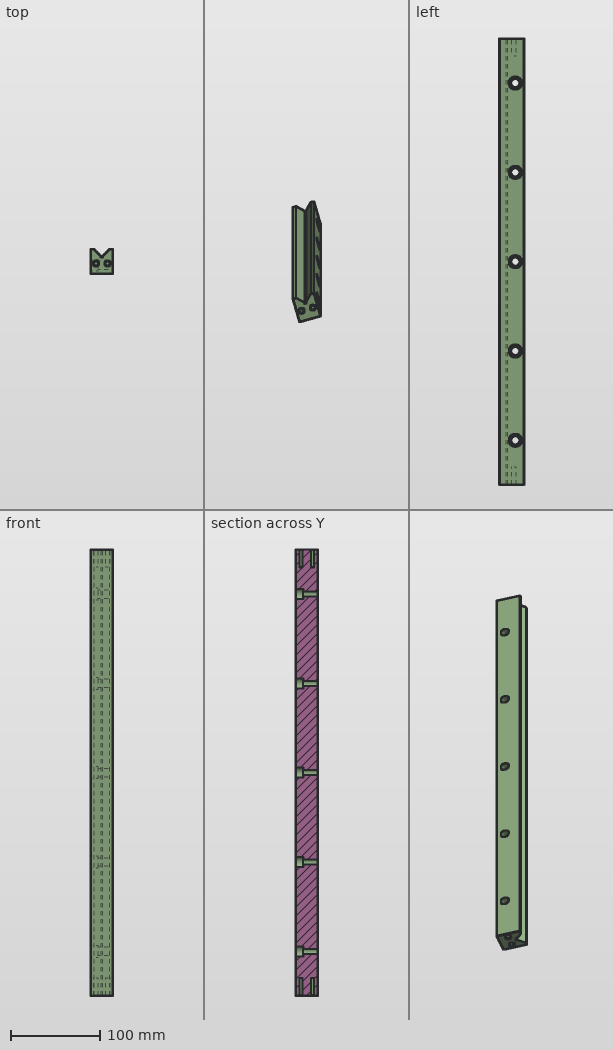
import cadquery as cq

WIDTH = 25.0
HEIGHT = 28.0
LENGTH = 500.0
EDGE_CHAMFER = 0.6

RACEWAY_WIDTH = 17.4
RELIEF_WIDTH = 2.0
RELIEF_DEPTH = 1.5

MOUNT_COUNT = 5
MOUNT_PITCH = 100.0
MOUNT_DIAMETER = 9.5
MOUNT_Y = -4.0
COUNTERBORE_DIAMETER = 13.3
COUNTERBORE_DEPTH = 8.5
COUNTERBORE_CHAMFER = 0.6

END_HOLE_DIAMETER = 5.0
END_HOLE_DEPTH = 20.0
END_HOLE_SPACING = 13.0
END_HOLE_Y = -2.0
END_HOLE_CHAMFER = 0.9


def rail_body():
    """Rectangular bar along Z with all edges chamfered."""
    return cq.Workplane("XY").box(WIDTH, HEIGHT, LENGTH).edges().chamfer(EDGE_CHAMFER)


def raceway():
    """V groove and root relief running the full length of the +Y face."""
    top = HEIGHT / 2
    half_width = RACEWAY_WIDTH / 2
    half_relief = RELIEF_WIDTH / 2
    flank_end = top - (half_width - half_relief)
    slot_floor = flank_end - RELIEF_DEPTH
    outline = [
        (-half_width, top),
        (-half_relief, flank_end),
        (-half_relief, slot_floor),
        (half_relief, slot_floor),
        (half_relief, flank_end),
        (half_width, top),
    ]
    return cq.Workplane("XY").polyline(outline).close().extrude(LENGTH / 2, both=True)


def chamfered_hole(diameter, depth, chamfer):
    """Cylindrical hole entering at Z = 0 and going down, with a chamfered mouth."""
    radius = diameter / 2
    profile = [
        (0, 0),
        (radius + chamfer, 0),
        (radius, -chamfer),
        (radius, -depth),
        (0, -depth),
    ]
    return cq.Workplane("XZ").polyline(profile).close().revolve(360, (0, 0), (0, 1))


def mounting_holes():
    """Row of through holes along X, counterbored from the -X face."""
    bore = cq.Workplane("XY").circle(MOUNT_DIAMETER / 2).extrude(-WIDTH)
    counterbore = chamfered_hole(COUNTERBORE_DIAMETER, COUNTERBORE_DEPTH, COUNTERBORE_CHAMFER)
    hole = bore.union(counterbore).rotate((0, 0, 0), (0, 1, 0), -90)
    first_z = -MOUNT_PITCH * (MOUNT_COUNT - 1) / 2
    holes = cq.Workplane("XY")
    for i in range(MOUNT_COUNT):
        holes = holes.union(hole.translate((-WIDTH / 2, MOUNT_Y, first_z + i * MOUNT_PITCH)))
    return holes


def end_holes():
    """Pair of blind holes in each end face."""
    hole = chamfered_hole(END_HOLE_DIAMETER, END_HOLE_DEPTH, END_HOLE_CHAMFER)
    left = hole.translate((-END_HOLE_SPACING / 2, END_HOLE_Y, LENGTH / 2))
    upper = left.union(left.mirror("YZ"))
    return upper.union(upper.mirror("XY"))


result = rail_body().cut(raceway()).cut(mounting_holes()).cut(end_holes())